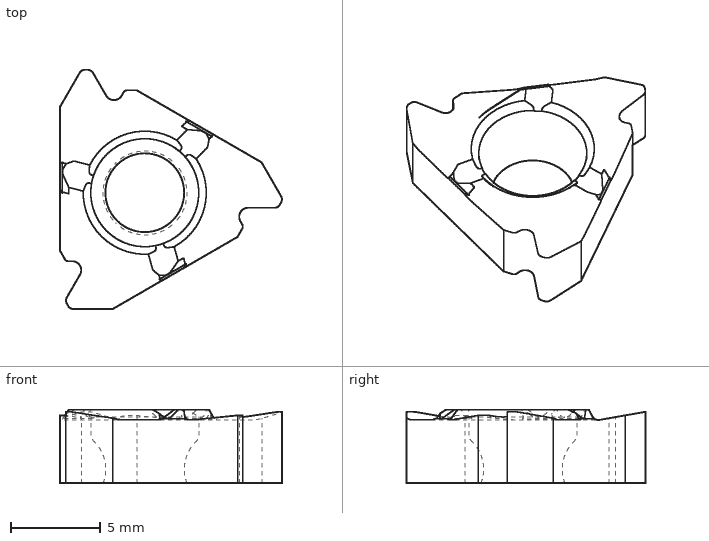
import cadquery as cq
import math

length = 13.41
height = 4.1
repeats = 3
step_angle = 360 / repeats

face_distance = 4.75
flank_angle = 60.0
tip_x = -3.27
tip_flat = 0.13
tip_radius = 0.36
valley_radius = 0.5
valley_y = 5.69
shoulder_y = 5.74
shoulder_radius = 0.21

floor_z = 3.54
rake_start = 4.3
rake_angle = 10.0
rake_blend_radius = 0.54

island_taper = 27.0
arc_side_distance = 3.71
long_side_distance = 3.6
end_side_distance = 4.48
long_side_direction = 121.8
end_side_direction = 180.0
island_foot_radius = 0.34
island_edge_radius = 0.05
island_corner_radius = 0.27

gate_z = 3.61
gate_top_distance = 4.25
gate_taper = 36.0

groove_direction = 45.5
groove_floor_z = 3.63
groove_floor_width = 0.3
groove_floor_offset = 0.01
groove_top_width = 1.5
groove_top_offset = 0.03
groove_corner_radius = 0.27

bore_radius = 2.2
bore_waist_z = 0.79
seat_round = 2.15
seat_radius = 2.87
counterbore_blend = 0.5
recess_top_radius = 3.45
recess_taper = 22.0
recess_corner_radius = 0.21
ledge_z = 3.7


def polar(radius, degrees, center=(0, 0)):
    angle = math.radians(degrees)
    return center[0] + radius * math.cos(angle), center[1] + radius * math.sin(angle)


def turned(point, degrees):
    """Rotate a point of the plan about the bore axis."""
    return polar(math.hypot(*point), math.degrees(math.atan2(point[1], point[0])) + degrees)


def meeting_point(direction_a, distance_a, direction_b, distance_b):
    """Crossing of two lines, each given by its normal direction and distance from the axis."""
    ax, ay = polar(1, direction_a)
    bx, by = polar(1, direction_b)
    determinant = ax * by - ay * bx
    x = (distance_a * by - distance_b * ay) / determinant
    y = (ax * distance_b - bx * distance_a) / determinant
    return x, y


def around(solid):
    """All the repeated copies of a solid about the bore axis."""
    copies = solid
    for index in range(1, repeats):
        copies = copies.union(solid.rotate((0, 0, 0), (0, 0, 1), index * step_angle))
    return copies


def make_outline():
    """Prism of the plan outline, walked clockwise from the side face facing -X."""
    left_normal = 90 + flank_angle
    right_normal = 90 - flank_angle
    cos_left = math.cos(math.radians(left_normal))
    sin_left = math.sin(math.radians(left_normal))

    tip_left_x = tip_x - tip_flat / 2
    tip_y = (length - 2 * tip_radius - tip_left_x * cos_left) / (1 + sin_left)
    tip_left = (tip_left_x, tip_y)
    tip_right = (tip_x + tip_flat / 2, tip_y)
    left_distance = tip_left[0] * cos_left + tip_y * sin_left + tip_radius
    flank_foot = meeting_point(180, face_distance, left_normal, left_distance)

    right_distance = -tip_right[0] * cos_left + tip_y * sin_left + tip_radius
    valley_x = (right_distance + valley_radius - valley_y * sin_left) / -cos_left
    valley = (valley_x, valley_y)
    wall_distance = valley_x * cos_left + valley_y * sin_left - valley_radius
    shoulder = meeting_point(left_normal, wall_distance - shoulder_radius, 90, shoulder_y - shoulder_radius)
    shoulder_end = meeting_point(90, shoulder_y, 90 - flank_angle / 2, face_distance)

    outline = cq.Workplane("XY").moveTo(*flank_foot)
    for index in range(repeats):
        turn = -index * step_angle

        def place(point):
            return turned(point, turn)

        if index > 0:
            outline = outline.lineTo(*place(flank_foot))
        outline = (
            outline.lineTo(*place(polar(tip_radius, left_normal, tip_left)))
            .threePointArc(
                place(polar(tip_radius, (left_normal + 90) / 2, tip_left)),
                place(polar(tip_radius, 90, tip_left)),
            )
            .lineTo(*place(polar(tip_radius, 90, tip_right)))
            .threePointArc(
                place(polar(tip_radius, (right_normal + 90) / 2, tip_right)),
                place(polar(tip_radius, right_normal, tip_right)),
            )
            .lineTo(*place(polar(valley_radius, right_normal + 180, valley)))
            .threePointArc(
                place(polar(valley_radius, -90, valley)),
                place(polar(valley_radius, left_normal + 180, valley)),
            )
            .lineTo(*place(polar(shoulder_radius, left_normal, shoulder)))
            .threePointArc(
                place(polar(shoulder_radius, (left_normal + 90) / 2, shoulder)),
                place(polar(shoulder_radius, 90, shoulder)),
            )
            .lineTo(*place(shoulder_end))
        )
    return outline.close().extrude(height)


def make_island():
    """Tapered island on a round base plate, with a rounded foot and top edge."""
    island_height = height - floor_z
    spread = island_height * math.tan(math.radians(island_taper))
    arc_radius = arc_side_distance + spread
    long_distance = long_side_distance + spread
    end_distance = end_side_distance + spread
    arc_end = long_side_direction - math.degrees(math.acos(long_distance / arc_radius))
    long_end = meeting_point(long_side_direction, long_distance, end_side_direction, end_distance)
    next_corner = meeting_point(end_side_direction, end_distance, 90 + step_angle, arc_radius)

    outline = cq.Workplane("XY", origin=(0, 0, floor_z)).moveTo(0, arc_radius)
    for index in range(repeats):
        turn = index * step_angle
        outline = (
            outline.threePointArc(
                polar(arc_radius, (90 + arc_end) / 2 + turn),
                polar(arc_radius, arc_end + turn),
            )
            .lineTo(*turned(long_end, turn))
            .lineTo(*turned(next_corner, turn))
        )
        if index < repeats - 1:
            outline = outline.lineTo(*turned((0, arc_radius), turn + step_angle))
    island = outline.close().extrude(island_height, taper=island_taper)
    for index in range(repeats):
        corner = polar(arc_radius - spread / 2, arc_end + index * step_angle)
        nearest = cq.selectors.NearestToPointSelector((*corner, (floor_z + height) / 2))
        island = island.edges(nearest).fillet(island_corner_radius)
    island = island.faces(">Z").edges().fillet(island_edge_radius)

    margin = island_foot_radius / 10
    plate = cq.Workplane("XY").circle(length).extrude(floor_z)
    joined = plate.union(island)
    foot = cq.selectors.BoxSelector(
        (-length / 2, -length / 2, floor_z - margin),
        (length / 2, length / 2, floor_z + margin),
        boundingbox=True,
    )
    return joined.edges(foot).fillet(island_foot_radius)


def make_gate():
    """Cutter that slopes the island end behind the side face facing -X."""
    slope_run = (height - gate_z) * math.tan(math.radians(gate_taper))
    return (
        cq.Workplane("XZ")
        .moveTo(-gate_top_distance, height)
        .lineTo(-gate_top_distance - slope_run, gate_z)
        .lineTo(-length, gate_z)
        .lineTo(-length, height)
        .close()
        .extrude(length / 2, both=True)
    )


def make_rake():
    """Tooth top that rises towards +Y, blended into the floor with an arc."""
    angle = math.radians(rake_angle)
    blend = rake_blend_radius * math.tan(angle / 2)
    blend_start = (rake_start - blend, floor_z)
    blend_middle = (
        blend_start[0] + rake_blend_radius * math.sin(angle / 2),
        floor_z + rake_blend_radius * (1 - math.cos(angle / 2)),
    )
    blend_end = polar(blend, rake_angle, (rake_start, floor_z))
    outer = (length, floor_z + (length - rake_start) * math.tan(angle))
    return (
        cq.Workplane("YZ")
        .moveTo(*blend_start)
        .threePointArc(blend_middle, blend_end)
        .lineTo(*outer)
        .lineTo(length, 0)
        .lineTo(blend_start[0], 0)
        .close()
        .extrude(length, both=True)
    )


def make_groove():
    """Flat-bottomed V groove running outwards from the bore."""
    half_floor = groove_floor_width / 2
    half_top = groove_top_width / 2
    groove = (
        cq.Workplane("YZ")
        .moveTo(groove_floor_offset - half_floor, groove_floor_z)
        .lineTo(groove_floor_offset + half_floor, groove_floor_z)
        .lineTo(groove_top_offset + half_top, height)
        .lineTo(groove_top_offset - half_top, height)
        .close()
        .extrude(length)
        .faces("<Z")
        .edges("|X")
        .fillet(groove_corner_radius)
    )
    return groove.rotate((0, 0, 0), (0, 0, 1), groove_direction)


def make_bore():
    """Recess, counterbore, rounded screw seat and waisted through bore, as one turned cutter."""
    seat_center = (bore_radius + seat_round, bore_waist_z)
    seat_angle = math.degrees(math.acos((seat_center[0] - seat_radius) / seat_round))
    underside_angle = math.degrees(math.asin(bore_waist_z / seat_round))
    seat_top = polar(seat_round, 180 - seat_angle, seat_center)

    blend_center = polar(counterbore_blend, 180 - seat_angle, seat_top)
    blend_end = (blend_center[0] + counterbore_blend, blend_center[1])

    wall_foot = recess_top_radius - (height - ledge_z) * math.tan(math.radians(recess_taper))
    corner_tangent = recess_corner_radius * math.tan(math.radians((90 - recess_taper) / 2))
    corner_start = wall_foot - corner_tangent
    corner_center = (corner_start, ledge_z + recess_corner_radius)

    profile = (
        cq.Workplane("XZ")
        .moveTo(0, 0)
        .lineTo(*polar(seat_round, 180 + underside_angle, seat_center))
        .threePointArc((bore_radius, bore_waist_z), seat_top)
        .threePointArc(polar(counterbore_blend, -seat_angle / 2, blend_center), blend_end)
        .lineTo(blend_end[0], ledge_z)
        .lineTo(corner_start, ledge_z)
        .threePointArc(
            polar(recess_corner_radius, (-90 - recess_taper) / 2, corner_center),
            polar(recess_corner_radius, -recess_taper, corner_center),
        )
        .lineTo(recess_top_radius, height)
        .lineTo(0, height)
        .close()
    )
    return profile.revolve(360, (0, 0, 0), (0, 1, 0))


top_form = make_island().cut(around(make_gate())).cut(around(make_groove()))
top_form = top_form.union(around(make_rake()))
result = make_outline().intersect(top_form).cut(make_bore())